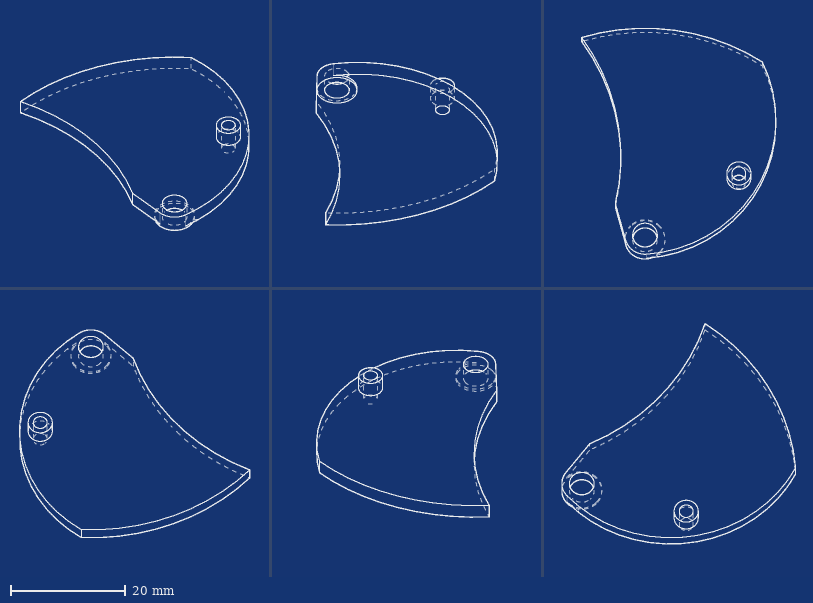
import cadquery as cq
import math

plate_thickness = 2.7
pivot_hole_diameter = 4.3
flange_diameter = 7.0
flange_thickness = 0.5
pin_diameter = 4.2
pin_hole_diameter = 2.4
pin_height = 2.85
pin_position = (1.0, 19.4)

swing_radius = 37.5
tip_x = -35.65
lower_edge_radius = 37.4
lower_corner_x = -7.7
back_radius = 24.45
back_center_x = -17.95
pivot_end_radius = flange_diameter / 2


def polar(radius, angle, center=(0, 0)):
    return (center[0] + radius * math.cos(angle), center[1] + radius * math.sin(angle))


def angle_of(point, center=(0, 0)):
    return math.atan2(point[1] - center[1], point[0] - center[0])


def arc_middle(start, end, radius, center=(0, 0)):
    """Midpoint of an arc that does not cross the negative X direction from its centre."""
    return polar(radius, (angle_of(start, center) + angle_of(end, center)) / 2, center)


def make_plate():
    center_distance = back_radius - pivot_end_radius
    back_center = (back_center_x, math.sqrt(center_distance**2 - back_center_x**2))
    center_angle = angle_of(back_center)
    back_end = polar(pivot_end_radius, center_angle - math.pi)

    corner_cosine = (swing_radius**2 + center_distance**2 - back_radius**2) / (
        2 * swing_radius * center_distance
    )
    upper_corner = polar(swing_radius, center_angle - math.acos(corner_cosine))

    tip = (tip_x, math.sqrt(swing_radius**2 - tip_x**2))
    lower_center = (tip_x, tip[1] - lower_edge_radius)
    lower_rise = math.sqrt(lower_edge_radius**2 - (lower_corner_x - tip_x) ** 2)
    lower_corner = (lower_corner_x, lower_center[1] + lower_rise)

    tangent_turn = math.acos(pivot_end_radius / math.hypot(*lower_corner))
    tangent_point = polar(pivot_end_radius, angle_of(lower_corner) + tangent_turn)

    return (
        cq.Workplane("XY")
        .moveTo(*tip)
        .threePointArc(arc_middle(tip, upper_corner, swing_radius), upper_corner)
        .threePointArc(arc_middle(upper_corner, back_end, back_radius, back_center), back_end)
        .lineTo(0, 0)
        .lineTo(*tangent_point)
        .lineTo(*lower_corner)
        .threePointArc(arc_middle(lower_corner, tip, lower_edge_radius, lower_center), tip)
        .close()
        .extrude(plate_thickness)
    )


def cylinder(diameter, bottom, top, position=(0, 0)):
    return (
        cq.Workplane("XY", origin=(*position, bottom)).circle(diameter / 2).extrude(top - bottom)
    )


pin_top = plate_thickness + pin_height
flange = cylinder(flange_diameter, -flange_thickness, plate_thickness)
pin = cylinder(pin_diameter, 0, pin_top, pin_position)
pivot_hole = cylinder(pivot_hole_diameter, -flange_thickness, plate_thickness)
pin_hole = cylinder(pin_hole_diameter, 0, pin_top, pin_position)

body = make_plate().union(flange).union(pin).clean()
result = body.cut(pivot_hole).cut(pin_hole)